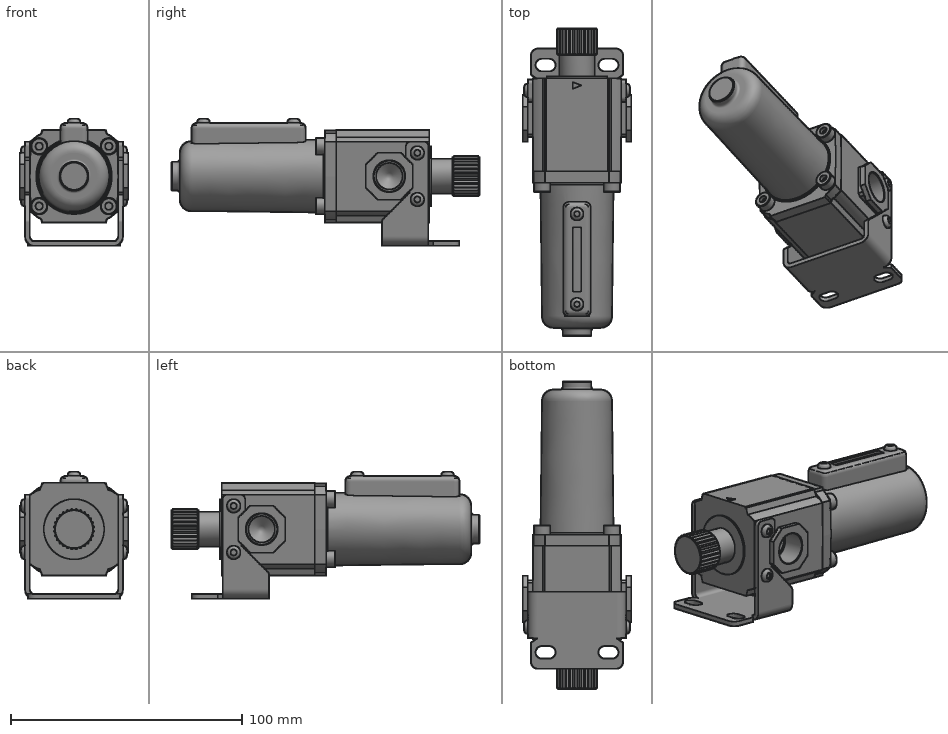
import cadquery as cq
import math


knob_end_y = 39.0
knob_base_y = 27.3
disc_face_y = 18.1
housing_back_y = 17.3
flange_back_y = -22.9
flange_front_y = -27.8
collar_front_y = -28.6
bowl_round_y = -85.5
bowl_end_y = -90.6
nub_flare_y = -91.6
nub_end_y = -94.2

body_half_width = 19.0
body_half_height = 19.91
body_center_z = -0.1
top_half_width = 13.9
corner_side_z = 15.0
corner_inner_x = 14.8
corner_inner_z = 17.0
corner_bulge = 0.3
pad_thickness = 0.4
pad_half_width = 13.3
disc_radius = 13.0
neck_radius = 7.6

arrow_y = 14.3
arrow_half_length = 1.9
arrow_half_width = 1.5
arrow_depth = 0.3

port_face_x = 23.51
port_plate_size = 20.2
port_plate_chamfer = 5.0
port_neck_size = 16.3
port_neck_chamfer = 1.2
port_radius = 6.7
port_depth = 10.7
port_cone_radius = 5.7
port_cone_depth = 3.5
port_rim_chamfer = 0.3

flange_edge_half_width = 18.6
flange_top_half_width = 13.7
flange_step_x = 14.0
flange_step_z = 18.6
flange_bulge = 0.3
collar_radius = 16.4
bowl_mouth_radius = 15.9
bowl_tip_radius = 15.2
nub_radius = 6.3
nub_flare_radius = 7.5
nub_chamfer = 0.4

flange_screw_x = 15.0
flange_screw_z = 12.9
flange_screw_radius = 3.6
flange_screw_height = 4.0
flange_screw_rim = 0.3
flange_socket_radius = 1.6
flange_socket_depth = 2.0

guard_half_width = 5.93
guard_start_y = -36.1
guard_end_y = bowl_round_y
guard_top_z = 23.0
guard_fillet = 2.4
guard_wall = 1.0
window_half_width = 1.93
window_start_y = -47.0
window_end_y = -74.9
window_fillet = 0.7

dome_rim_height = 0.3
dome_socket_depth = 0.9
guard_screw_radius = 2.8
guard_screw_height = 1.9
guard_screw_socket = 1.2
guard_screw_ys = (-41.3, -80.3)
bracket_screw_radius = 2.9
bracket_screw_height = 1.7
bracket_screw_socket = 1.3
bracket_screw_y = 12.1
bracket_screw_z = 10.05

knob_radius = 8.8
knob_valley_radius = 8.1
knob_teeth = 28
knob_chamfer = 0.7

sheet = 2.1
bend_radius = 4.0
bracket_half_width = body_half_width + sheet
bracket_base_z = -30.1
bracket_back_y = 16.9
bracket_front_y = -3.2
bracket_top_z = 14.9
lug_front_y = 7.2
lug_fillet = 2.0
slope_fillet = 2.0
port_gap_y = 8.9
upper_slope_sum = 15.2
lower_slope_sum = 15.9
tab_half_width = 20.0
tab_end_y = 30.2
tab_fillet = 3.2
tab_relief_y = 18.9
slot_x = 13.6
slot_y = 23.0
slot_length = 8.5
slot_width = 5.3


def extrude_y(outline, start_y, end_y):
    """Extrude a closed outline drawn in X and Z from start_y toward -Y."""
    return outline(cq.Workplane("XZ", origin=(0, start_y, 0))).extrude(start_y - end_y)


def cylinder_y(radius, start_y, end_y, x=0, z=0):
    return cq.Workplane("XZ", origin=(x, start_y, z)).circle(radius).extrude(start_y - end_y)


def domed_head(radius, height, socket_radius):
    """Domed head standing on the XY plane, with a round socket in its top."""
    dome_width = radius - socket_radius
    dome_rise = height - dome_rim_height
    middle = (
        socket_radius + dome_width * math.sqrt(0.5),
        dome_rim_height + dome_rise * math.sqrt(0.5),
    )
    socket_floor = height - dome_socket_depth
    return (
        cq.Workplane("XZ")
        .lineTo(radius, 0)
        .lineTo(radius, dome_rim_height)
        .threePointArc(middle, (socket_radius, height))
        .lineTo(socket_radius, socket_floor)
        .lineTo(0, socket_floor)
        .close()
        .revolve(360, (0, 0, 0), (0, 1, 0))
    )


def bulged_middle(start, end, bulge):
    """Middle point of an arc that rises by bulge on the outer side of its chord."""
    run = end[0] - start[0]
    drop = end[1] - start[1]
    chord = math.hypot(run, drop)
    return (
        (start[0] + end[0]) / 2 - bulge * drop / chord,
        (start[1] + end[1]) / 2 + bulge * run / chord,
    )


def cut_corner_outline(plane, top_x, step, side, waist_x, bulge):
    """Block section with four stepped, gently rounded corners.

    Each corner runs from the flat top at top_x down a short wall to step, then along an
    arc to side.  The flanks meet at waist_x, half way up.
    """
    arc_x, arc_z = bulged_middle(step, side, bulge)
    outline = plane.center(0, body_center_z).moveTo(-top_x, body_half_height)
    for turn in (1, -1):
        outline = (
            outline.lineTo(turn * top_x, turn * body_half_height)
            .lineTo(turn * step[0], turn * step[1])
            .threePointArc((turn * arc_x, turn * arc_z), (turn * side[0], turn * side[1]))
        )
        if waist_x != side[0]:
            outline = outline.lineTo(turn * waist_x, 0)
        outline = (
            outline.lineTo(turn * side[0], -turn * side[1])
            .threePointArc((turn * arc_x, -turn * arc_z), (turn * step[0], -turn * step[1]))
            .lineTo(turn * top_x, -turn * body_half_height)
        )
    return outline.close()


def housing_outline(plane):
    step = (corner_inner_x, corner_inner_z)
    side = (body_half_width, corner_side_z)
    return cut_corner_outline(plane, top_half_width, step, side, body_half_width, corner_bulge)


def port_boss():
    """Octagonal port plate on its smaller neck, on the +X side."""
    neck = (
        cq.Workplane("YZ", origin=(body_half_width, 0, 0))
        .rect(port_neck_size, port_neck_size)
        .extrude(sheet)
        .edges("|X")
        .chamfer(port_neck_chamfer)
    )
    plate = (
        cq.Workplane("YZ", origin=(bracket_half_width, 0, 0))
        .rect(port_plate_size, port_plate_size)
        .extrude(port_face_x - bracket_half_width)
        .edges("|X")
        .chamfer(port_plate_chamfer)
    )
    return neck.union(plate)


def port_hole():
    """Stepped port bore on the +X side that ends in a cone."""
    floor_x = port_face_x - port_depth
    return (
        cq.Workplane("XY")
        .moveTo(port_face_x, 0)
        .lineTo(port_face_x, port_radius + port_rim_chamfer)
        .lineTo(port_face_x - port_rim_chamfer, port_radius)
        .lineTo(floor_x, port_radius)
        .lineTo(floor_x, port_cone_radius)
        .lineTo(floor_x - port_cone_depth, 0)
        .close()
        .revolve(360, (0, 0, 0), (1, 0, 0))
    )


def make_housing():
    housing = extrude_y(housing_outline, housing_back_y, flange_back_y)
    body_top_z = body_center_z + body_half_height
    pad_length = housing_back_y - flange_back_y
    pad = (
        cq.Workplane("XY", origin=(0, housing_back_y - pad_length / 2, body_top_z))
        .rect(2 * pad_half_width, pad_length)
        .extrude(pad_thickness)
    )
    arrow = (
        cq.Workplane("XY", origin=(0, arrow_y, body_top_z + pad_thickness))
        .moveTo(arrow_half_length, 0)
        .lineTo(-arrow_half_length, arrow_half_width)
        .lineTo(-arrow_half_length, -arrow_half_width)
        .close()
        .extrude(-arrow_depth)
    )
    housing = housing.union(pad).cut(arrow)
    housing = housing.union(cylinder_y(disc_radius, disc_face_y, housing_back_y))
    housing = housing.union(cylinder_y(neck_radius, knob_base_y, housing_back_y))
    for turn in (0, 180):
        housing = housing.union(port_boss().rotate((0, 0, 0), (0, 0, 1), turn))
    for turn in (0, 180):
        housing = housing.cut(port_hole().rotate((0, 0, 0), (0, 0, 1), turn))
    return housing


def flange_outline(plane):
    """Flange section; its flanks widen slightly toward mid height."""
    step = (flange_step_x, flange_step_z)
    side = (flange_edge_half_width, corner_side_z)
    return cut_corner_outline(
        plane, flange_top_half_width, step, side, body_half_width, flange_bulge
    )


def bowl_shell():
    """Tapered bowl with a rounded end, its collar and the drain nub."""
    round_length = bowl_round_y - bowl_end_y
    end_flat_radius = bowl_tip_radius - round_length
    diagonal = round_length * math.sqrt(0.5)
    flare_dip = 1 - math.sqrt(0.5)
    flare_middle = (
        nub_radius + (nub_flare_radius - nub_radius) * flare_dip,
        bowl_end_y + (nub_flare_y - bowl_end_y) * flare_dip,
    )
    return (
        cq.Workplane("XY")
        .moveTo(0, flange_front_y)
        .lineTo(collar_radius, flange_front_y)
        .lineTo(collar_radius, collar_front_y)
        .lineTo(bowl_mouth_radius, collar_front_y)
        .lineTo(bowl_tip_radius, bowl_round_y)
        .threePointArc(
            (end_flat_radius + diagonal, bowl_round_y - diagonal), (end_flat_radius, bowl_end_y)
        )
        .lineTo(nub_flare_radius, bowl_end_y)
        .threePointArc(flare_middle, (nub_radius, nub_flare_y))
        .lineTo(nub_radius, nub_end_y + nub_chamfer)
        .lineTo(nub_radius - nub_chamfer, nub_end_y)
        .lineTo(0, nub_end_y)
        .close()
        .revolve(360, (0, 0, 0), (0, 1, 0))
    )


def guard_block(wall):
    """Round-cornered block in the shape of the guard, set inward by wall on every side."""
    length = guard_start_y - guard_end_y
    return (
        cq.Workplane("XY", origin=(0, (guard_start_y + guard_end_y) / 2, 0))
        .rect(2 * (guard_half_width - wall), length - 2 * wall)
        .extrude(guard_top_z - wall)
        .edges("|Z")
        .fillet(guard_fillet - wall)
    )


def window_guard():
    """Thin-walled guard over the sight window, with a slot through its roof."""
    top_fillet = guard_fillet - 0.01
    guard = guard_block(0).faces(">Z").edges().fillet(top_fillet)
    return guard.cut(guard_block(guard_wall)).cut(window_slot())


def window_slot():
    length = window_start_y - window_end_y
    return (
        cq.Workplane("XY", origin=(0, (window_start_y + window_end_y) / 2, 0))
        .rect(2 * window_half_width, length)
        .extrude(guard_top_z)
        .edges("|Z")
        .fillet(window_fillet)
    )


def flange_screw(x, z):
    front_y = flange_front_y - flange_screw_height
    head = cylinder_y(flange_screw_radius, flange_front_y, front_y, x, z)
    head = head.faces("<Y").edges().chamfer(flange_screw_rim)
    return head.cut(cylinder_y(flange_socket_radius, front_y + flange_socket_depth, front_y, x, z))


def make_bowl():
    bowl = window_guard().union(bowl_shell())
    bowl = bowl.union(extrude_y(flange_outline, flange_back_y, flange_front_y))
    for x in (-flange_screw_x, flange_screw_x):
        for z in (-flange_screw_z, flange_screw_z):
            bowl = bowl.union(flange_screw(x, z))
    for y in guard_screw_ys:
        head = domed_head(guard_screw_radius, guard_screw_height, guard_screw_socket)
        bowl = bowl.union(head.translate((0, y, guard_top_z)))
    return bowl


def serration_outline(plane):
    """Ring of pointed teeth with a valley on the Z axis."""
    step = math.pi / knob_teeth
    points = []
    for index in range(2 * knob_teeth):
        radius = knob_radius if index % 2 else knob_valley_radius
        points.append((radius * math.sin(index * step), radius * math.cos(index * step)))
    return plane.polyline(points).close()


def make_knob():
    blank = cylinder_y(knob_radius, knob_end_y, knob_base_y).edges().chamfer(knob_chamfer)
    return extrude_y(serration_outline, knob_end_y, knob_base_y).intersect(blank)


def bracket_channel():
    """U-shaped sheet between the front and back edges of the bracket."""
    length = bracket_back_y - bracket_front_y
    height = bracket_top_z - bracket_base_z
    outer = (
        cq.Workplane("XY", origin=(0, bracket_front_y + length / 2, bracket_base_z))
        .rect(2 * bracket_half_width, length)
        .extrude(height)
        .edges("|Y and <Z")
        .fillet(bend_radius)
    )
    inner = (
        cq.Workplane("XY", origin=(0, bracket_front_y + length / 2, bracket_base_z + sheet))
        .rect(2 * body_half_width, length)
        .extrude(height)
        .edges("|Y and <Z")
        .fillet(bend_radius - sheet)
    )
    return outer.cut(inner)


def bracket_side_outline():
    """Block with the bracket's side shape in Y and Z, spanning both walls."""
    slope_end_z = bracket_front_y - lower_slope_sum
    tangent = slope_fillet * math.tan(math.pi / 8)
    leg = tangent * math.sqrt(0.5)
    return (
        cq.Workplane("YZ", origin=(-bracket_half_width, 0, 0))
        .moveTo(bracket_back_y, bracket_base_z)
        .lineTo(bracket_back_y, bracket_top_z - lug_fillet)
        .radiusArc((bracket_back_y - lug_fillet, bracket_top_z), -lug_fillet)
        .lineTo(lug_front_y + lug_fillet, bracket_top_z)
        .radiusArc((lug_front_y, bracket_top_z - lug_fillet), -lug_fillet)
        .lineTo(lug_front_y, upper_slope_sum - lug_front_y)
        .lineTo(port_gap_y, upper_slope_sum - port_gap_y)
        .lineTo(port_gap_y, port_gap_y - lower_slope_sum)
        .lineTo(bracket_front_y + leg, slope_end_z + leg)
        .radiusArc((bracket_front_y, slope_end_z - tangent), -slope_fillet)
        .lineTo(bracket_front_y, bracket_base_z)
        .close()
        .extrude(2 * bracket_half_width)
    )


def bracket_tab():
    """Slotted mounting tab behind the channel."""
    root_half_width = bracket_half_width - bend_radius
    tab = (
        cq.Workplane("XY", origin=(0, 0, bracket_base_z))
        .moveTo(-root_half_width, bracket_back_y)
        .lineTo(-tab_half_width, tab_relief_y)
        .lineTo(-tab_half_width, tab_end_y)
        .lineTo(tab_half_width, tab_end_y)
        .lineTo(tab_half_width, tab_relief_y)
        .lineTo(root_half_width, bracket_back_y)
        .close()
        .extrude(sheet)
        .edges("|Z and >Y")
        .fillet(tab_fillet)
    )
    slots = (
        cq.Workplane("XY", origin=(0, slot_y, bracket_base_z))
        .pushPoints([(-slot_x, 0), (slot_x, 0)])
        .slot2D(slot_length, slot_width)
        .extrude(sheet)
    )
    return tab.cut(slots)


def make_bracket():
    return bracket_channel().intersect(bracket_side_outline()).union(bracket_tab())


def make_bracket_screw(side, z):
    """Domed screw head on the outer face of one bracket wall; side is -1 or 1."""
    head = domed_head(bracket_screw_radius, bracket_screw_height, bracket_screw_socket)
    head = head.rotate((0, 0, 0), (0, 1, 0), side * 90)
    return head.translate((side * bracket_half_width, bracket_screw_y, z))


housing = make_housing()
bowl = make_bowl()
knob = make_knob()
bracket = make_bracket()
bracket_screws = [
    make_bracket_screw(side, z)
    for side in (-1, 1)
    for z in (-bracket_screw_z, bracket_screw_z)
]

result = cq.Compound.makeCompound(
    [housing.val(), bowl.val(), knob.val(), bracket.val()]
    + [screw.val() for screw in bracket_screws]
)